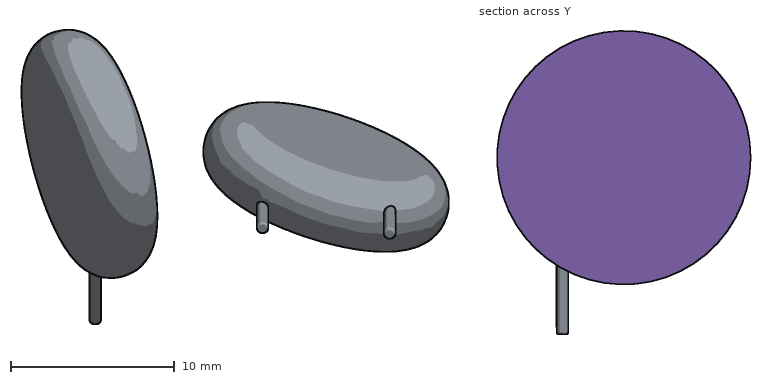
import cadquery as cq

disc_diameter = 15.5
disc_thickness = 4.5
rim_band_width = 0.11
rim_radius = (disc_thickness - rim_band_width) / 2

lead_diameter = 0.72
lead_pitch = 7.5
lead_offset = 2.0
lead_exposed_length = 3.03
lead_tip_radius = lead_diameter / 5

lead_bottom = -disc_diameter / 2 - lead_exposed_length
lead_top = -disc_diameter / 4


def make_disc():
    """Disc with an almost fully rounded rim."""
    disc = (
        cq.Workplane("XZ", origin=(0, disc_thickness / 2, 0))
        .circle(disc_diameter / 2)
        .extrude(disc_thickness)
    )
    return disc.edges("%CIRCLE").fillet(rim_radius)


def make_lead(x, y):
    """Round lead running down from inside the disc, with a rounded tip."""
    lead = (
        cq.Workplane("XY", origin=(x, y, lead_bottom))
        .circle(lead_diameter / 2)
        .extrude(lead_top - lead_bottom)
    )
    return lead.faces("<Z").edges().fillet(lead_tip_radius)


result = make_disc()
for side in (-1, 1):
    result = result.union(make_lead(side * lead_pitch / 2, -side * lead_offset / 2))